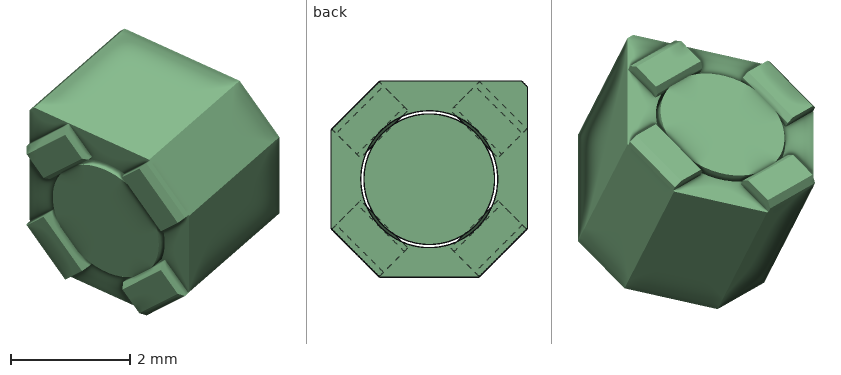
import cadquery as cq
import math

width = 3.3
depth = 2.8
pad_height = 0.2
body_depth = depth - pad_height
corner_cut = 0.825
marker_cut = 0.1

bore_radius = 1.15
core_radius = 1.1
core_step = 0.1

pad_length = 1.125
pad_inner = 1.07
pad_overhang = 0.005
pad_outer = (width - corner_cut) / math.sqrt(2) + pad_overhang
pad_side_height = 0.1
outer_bevel = 0.11
inner_bevel = 0.085
first_pad_angle = 45
pad_count = 4
pad_spacing = 360 / pad_count


def make_shell():
    half = width / 2
    outline = (
        cq.Workplane("XZ")
        .moveTo(-half + marker_cut, half)
        .lineTo(half - corner_cut, half)
        .lineTo(half, half - corner_cut)
        .lineTo(half, -half + corner_cut)
        .lineTo(half - corner_cut, -half)
        .lineTo(-half + corner_cut, -half)
        .lineTo(-half, -half + corner_cut)
        .lineTo(-half, half - marker_cut)
        .close()
    )
    bore = cq.Workplane("XZ").circle(bore_radius).extrude(-body_depth)
    return outline.extrude(-body_depth).cut(bore)


def make_core():
    return (
        cq.Workplane("XZ", origin=(0, -core_step, 0))
        .circle(core_radius)
        .extrude(-(body_depth + core_step))
    )


def make_pad(angle):
    return (
        cq.Workplane("XY")
        .moveTo(pad_inner, 0)
        .lineTo(pad_outer, 0)
        .lineTo(pad_outer, -pad_side_height)
        .lineTo(pad_outer - outer_bevel, -pad_height)
        .lineTo(pad_inner + inner_bevel, -pad_height)
        .lineTo(pad_inner, -pad_side_height)
        .close()
        .extrude(pad_length / 2, both=True)
        .rotate((0, 0, 0), (0, 1, 0), angle)
    )


result = make_shell().union(make_core())
for index in range(pad_count):
    result = result.union(make_pad(first_pad_angle + index * pad_spacing))